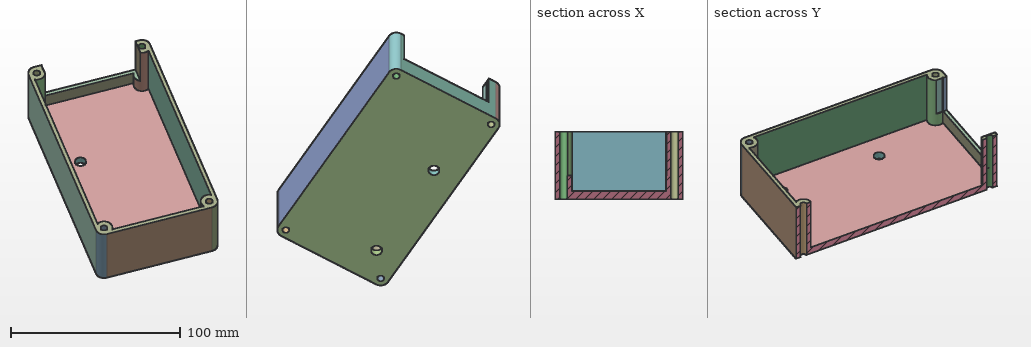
import cadquery as cq

length = 136.2
width = 75.6
height = 40.0
wall = 2.5
floor = 5.0
corner_radius = 5.0

post_radius = corner_radius
screw_diameter = 4.0

floor_hole_diameter = 6.5
first_hole_from_end = 50.1
hole_spacing = 65.5
holes_from_side = 17.3

window_depth = 25.9
window_margin_front = 9.7
window_margin_back = 7.5


def make_shell():
    """Rounded block hollowed from above, leaving the walls and floor."""
    block = cq.Workplane("XY").box(length, width, height, centered=(True, True, False))
    block = block.edges("|Z").fillet(corner_radius)
    cavity = (
        cq.Workplane("XY", origin=(0, 0, floor))
        .box(length - 2 * wall, width - 2 * wall, height, centered=(True, True, False))
    )
    return block.cut(cavity)


def corner_cylinders(diameter):
    """Full-height cylinders on the four corner axes."""
    return (
        cq.Workplane("XY")
        .rect(length - 2 * corner_radius, width - 2 * corner_radius, forConstruction=True)
        .vertices()
        .circle(diameter / 2)
        .extrude(height)
    )


def make_window():
    """Cutter through the end wall and the full reach of its posts."""
    reach = corner_radius + post_radius
    window_width = width - window_margin_front - window_margin_back
    return (
        cq.Workplane("XY", origin=(-length / 2, -width / 2 + window_margin_front, height - window_depth))
        .box(reach, window_width, window_depth, centered=False)
    )


def make_floor_holes():
    """Cutters for the pair of holes through the floor."""
    first_x = -length / 2 + first_hole_from_end
    hole_y = -width / 2 + holes_from_side
    return (
        cq.Workplane("XY")
        .pushPoints([(first_x, hole_y), (first_x + hole_spacing, hole_y)])
        .circle(floor_hole_diameter / 2)
        .extrude(floor)
    )


result = (
    make_shell()
    .union(corner_cylinders(2 * post_radius))
    .cut(make_window())
    .cut(corner_cylinders(screw_diameter))
    .cut(make_floor_holes())
)